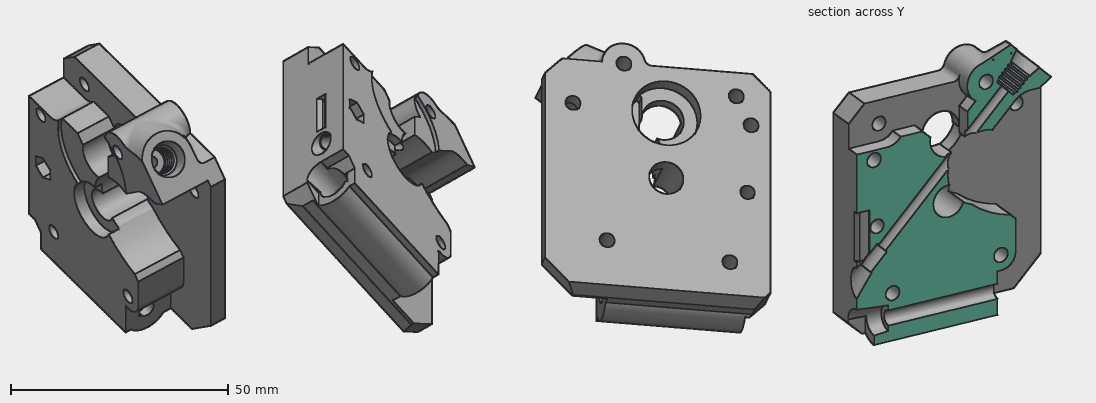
import cadquery as cq
import math

WIDTH = 53.0
DEPTH = 17.0
BASE_Z = 2.2
TOP_Z = 59.9
RIGHT_WALL_Y = 12.95
LEDGE_Y = 9.9
TOP_LEFT_CHAMFER = 4.2
BOTTOM_LEFT_CHAMFER = 3.05
BOTTOM_RIGHT_CHAMFER = 7.25
SHOULDER_Z = 55.9
BACK_BEVEL_DEPTH = 3.4
BACK_BEVEL_HEIGHT = 1.7

SCREW_DIA = 3.5
RIGHT_PIVOT = (46.4, 48.9)
BOSS_CENTER = (34.5, 59.85)
EAR_CENTER = (38.4, 15.05)
TOP_LEFT_SCREW = (8.1, 53.95)
SCREW_POINTS = [TOP_LEFT_SCREW, (4.6, 46.95), BOSS_CENTER, RIGHT_PIVOT, EAR_CENTER, (9.6, 12.1)]
NUT_CENTER = (5.4, 30.0)
NUT_SCREW_DIA = 3.4
NUT_CORNER_DIA = 6.4
NUT_DEPTH = 3.4

BODY_TOP_Z = 49.5
BODY_STEP_Z = 51.3
BODY_STEP_RIGHT = 17.6
BODY_RIGHT = 37.5
EAR_RADIUS = 4.0
SCREW_CLEARANCE_DIA = 8.95
LEVER_SWEEP_RADIUS = 24.85
LEVER_START_ANGLE = 212
LEVER_CORNER_X = 41.05

MOTOR_CENTER = (24.5, 48.25)
MOTOR_SHAFT_DIA = 9.85
MOTOR_PILOT_DIA = 16.1
GEAR_RADIUS = 13.2
GEAR_RECESS = 0.95
DRIVE_CENTER = (33.5, 38.5)
DRIVE_RADIUS = 9.15
BEARING_CENTER = (24.5, 31.95)
SHAFT_DIA = 8.0
BEARING_DIA = 13.9
BEARING_DEPTH = 2.9

BOSS_RADIUS = 5.1
BOSS_FOOT_FILLET = 1.7
ARM_LEFT = 29.45
ARM_NOTCH_Z = 53.5
ARM_NOTCH_REACH = 2.6
ARM_SWEEP_RADIUS = 6.05
ARM_FLAT_END = 48.8
ARM_RIGHT = 51.85

PATH_Y = 6.2
PATH_EXIT_Z = 17.5
PATH_DIA = 2.5
COLLAR_RADIUS = 6.6
COLLAR_LENGTH = 7.8
COLLAR_TAPER = math.tan(math.radians(23.3))
COLLAR_FILLET = 1.7
MOUTH_DIA = 8.4
THREAD_DIA = 7.0
THREAD_CORE_DIA = 6.0
THREAD_START = 2.9
THREAD_PITCH = 1.15
THREAD_COUNT = 4
EXIT_RADIUS = 2.65
EXIT_TAPER = 0.18
EXIT_DEPTH = 3.5
EXIT_OVERRUN = 4.1
TUBE_DIA = 3.5
TUBE_DEPTH = 9.5

BARREL_RADIUS = 6.05
BARREL_Z = BARREL_RADIUS
SEAT_DIA = 8.0
SEAT_FLOOR_DIA = 6.4
SEAT_FLOOR_X = 8.35
BARREL_HOLE_DIA = 3.7
KEY_REACH = 2.25
KEY_WIDTH = 1.75
NOTCH_RIGHT = 4.6
NOTCH_TOP_RIGHT = 2.3
SEAT_KEY_REACH = 4.1
SEAT_KEY_WIDTH = 2.85

SLOT_BOTTOM_Z = 22.1
SLOT_TOP_Z = 34.5
SLOT_WIDTH = 2.5
SLOT_INNER_WIDTH = 0.7
SLOT_LIP = 0.95
SLOT_DEPTH = 3.4

OVERCUT = 0.7
DIAGONAL = math.sqrt(0.5)


def front_plane(y):
    """Sketch plane parallel to XZ at depth y; negative extrusion goes toward the back."""
    return cq.Workplane(cq.Plane(origin=(0, y, 0), xDir=(1, 0, 0), normal=(0, -1, 0)))


def prism(points, y0, y1):
    return front_plane(y0).polyline(points).close().extrude(y0 - y1)


def disc(center, radius, y0, y1):
    return front_plane(y0).center(*center).circle(radius).extrude(y0 - y1)


def box(x0, x1, y0, y1, z0, z1):
    return cq.Workplane("XY").box(x1 - x0, y1 - y0, z1 - z0, centered=False).translate((x0, y0, z0))


def on_circle(center, radius, degrees):
    angle = math.radians(degrees)
    return center[0] + radius * math.cos(angle), center[1] + radius * math.sin(angle)


def revolve_along(profile, origin, direction):
    """Turn (distance, radius) points about an axis lying in the XZ plane."""
    plane = cq.Plane(origin=origin, xDir=direction, normal=(-direction[2], 0, direction[0]))
    outline = [(profile[0][0], 0), *profile, (profile[-1][0], 0)]
    return cq.Workplane(plane).polyline(outline).close().revolve(360, (0, 0, 0), (1, 0, 0))


SHOULDER_SUM = WIDTH + SHOULDER_Z
FITTING_X = (SHOULDER_SUM - PATH_EXIT_Z) / 2
FITTING = (FITTING_X, PATH_Y, SHOULDER_SUM - FITTING_X)
PATH_EXIT = (0, PATH_Y, PATH_EXIT_Z)
UPHILL = (DIAGONAL, 0, DIAGONAL)
DOWNHILL = (-DIAGONAL, 0, -DIAGONAL)


def back_plate():
    outline = [
        (0, BASE_Z + BOTTOM_LEFT_CHAMFER),
        (BOTTOM_LEFT_CHAMFER, BASE_Z),
        (WIDTH - BOTTOM_RIGHT_CHAMFER, BASE_Z),
        (WIDTH, BASE_Z + BOTTOM_RIGHT_CHAMFER),
        (WIDTH, SHOULDER_Z),
        (SHOULDER_SUM - TOP_Z, TOP_Z),
        (TOP_LEFT_CHAMFER, TOP_Z),
        (0, TOP_Z - TOP_LEFT_CHAMFER),
    ]
    ledge = [
        (0, BODY_TOP_Z),
        (0, TOP_Z - TOP_LEFT_CHAMFER),
        (TOP_LEFT_CHAMFER, TOP_Z),
        (BOSS_CENTER[0], TOP_Z),
        BOSS_CENTER,
        (ARM_LEFT + ARM_NOTCH_REACH, ARM_NOTCH_Z + ARM_NOTCH_REACH),
        (ARM_LEFT, ARM_NOTCH_Z),
        (ARM_LEFT, MOTOR_CENTER[1]),
        (MOTOR_CENTER[0], DRIVE_CENTER[1]),
    ]
    return prism(outline, RIGHT_WALL_Y, DEPTH).union(prism(ledge, LEDGE_Y, RIGHT_WALL_Y))


def front_body():
    lever_reach = (RIGHT_PIVOT[0] - LEVER_CORNER_X) / LEVER_SWEEP_RADIUS
    lever_end_angle = 180 + math.degrees(math.acos(lever_reach))
    lever_end = on_circle(RIGHT_PIVOT, LEVER_SWEEP_RADIUS, lever_end_angle)
    lever_mid = on_circle(RIGHT_PIVOT, LEVER_SWEEP_RADIUS, (lever_end_angle + LEVER_START_ANGLE) / 2)
    lever_start = on_circle(RIGHT_PIVOT, LEVER_SWEEP_RADIUS, LEVER_START_ANGLE)
    ear_right = EAR_CENTER[0] + EAR_RADIUS
    chamfer = ear_right - lever_end[0]
    ear_mid = on_circle(EAR_CENTER, EAR_RADIUS, -45)
    body = (
        front_plane(0)
        .moveTo(0, BASE_Z + BOTTOM_LEFT_CHAMFER)
        .lineTo(BOTTOM_LEFT_CHAMFER, BASE_Z)
        .lineTo(BODY_RIGHT, BASE_Z)
        .lineTo(BODY_RIGHT, EAR_CENTER[1] - EAR_RADIUS)
        .lineTo(EAR_CENTER[0], EAR_CENTER[1] - EAR_RADIUS)
        .threePointArc(ear_mid, (ear_right, EAR_CENTER[1]))
        .lineTo(ear_right, lever_end[1] - chamfer)
        .lineTo(*lever_end)
        .threePointArc(lever_mid, lever_start)
        .lineTo(*DRIVE_CENTER)
        .lineTo(*MOTOR_CENTER)
        .lineTo(BODY_STEP_RIGHT + BODY_STEP_Z - MOTOR_CENTER[1], MOTOR_CENTER[1])
        .lineTo(BODY_STEP_RIGHT, BODY_STEP_Z)
        .lineTo(TOP_LEFT_SCREW[0], BODY_STEP_Z)
        .lineTo(TOP_LEFT_SCREW[0], BODY_TOP_Z)
        .lineTo(0, BODY_TOP_Z)
        .close()
        .extrude(-RIGHT_WALL_Y)
    )
    return body.cut(disc(TOP_LEFT_SCREW, SCREW_CLEARANCE_DIA / 2, -OVERCUT, LEDGE_Y))


def barrel():
    bar = cq.Workplane("YZ").center(PATH_Y, BARREL_Z).circle(BARREL_RADIUS).extrude(BODY_RIGHT)
    corner = BASE_Z + BOTTOM_LEFT_CHAMFER
    chamfer = [
        (0, corner),
        (NOTCH_RIGHT, corner - NOTCH_RIGHT),
        (NOTCH_RIGHT, -OVERCUT),
        (0, -OVERCUT),
    ]
    return bar.cut(prism(chamfer, 0, DEPTH))


def fitting_collar():
    """Tapered collar around the filament inlet, stretched down along the sloping face."""
    base_radius = COLLAR_RADIUS + COLLAR_LENGTH * COLLAR_TAPER
    cone = revolve_along([(0, COLLAR_RADIUS), (COLLAR_LENGTH, base_radius)], FITTING, DOWNHILL)
    stretch = 2 * COLLAR_RADIUS
    face_center = (FITTING[0], 0, FITTING[2])
    across = cq.Workplane(cq.Plane(origin=face_center, xDir=(0, 1, 0), normal=(DIAGONAL, 0, -DIAGONAL)))
    extension = (
        across.polyline([
            (PATH_Y - base_radius, 0),
            (PATH_Y + COLLAR_RADIUS, 0),
            (PATH_Y + base_radius, -COLLAR_LENGTH),
            (PATH_Y - base_radius, -COLLAR_LENGTH),
        ]).close().extrude(stretch)
    )
    return cone.union(extension)


def boss():
    """Round screw boss with a concave foot running into the top of the plate."""
    foot_x = BOSS_CENTER[0] - math.sqrt(
        (BOSS_RADIUS + BOSS_FOOT_FILLET) ** 2 - (TOP_Z + BOSS_FOOT_FILLET - BOSS_CENTER[1]) ** 2
    )
    foot_center = (foot_x, TOP_Z + BOSS_FOOT_FILLET)
    center_rise = foot_center[1] - BOSS_CENTER[1]
    tangent_z = BOSS_CENTER[1] + center_rise * BOSS_RADIUS / (BOSS_RADIUS + BOSS_FOOT_FILLET)
    foot = box(foot_x, BOSS_CENTER[0], LEDGE_Y, DEPTH, BOSS_CENTER[1], tangent_z)
    foot = foot.cut(disc(foot_center, BOSS_FOOT_FILLET, LEDGE_Y - OVERCUT, DEPTH + OVERCUT))
    return disc(BOSS_CENTER, BOSS_RADIUS, 0, DEPTH).union(foot)


def arm_prism(y1):
    """Arm outline from the front face back to y1, bounded above by the sloping face."""
    sweep_top = RIGHT_PIVOT[1] + ARM_SWEEP_RADIUS
    sweep_start = on_circle(RIGHT_PIVOT, ARM_SWEEP_RADIUS, 135)
    sweep_mid = on_circle(RIGHT_PIVOT, ARM_SWEEP_RADIUS, 112.5)
    inner_x = BOSS_CENTER[0] - BOSS_RADIUS / 2
    low_z = DRIVE_CENTER[1] + DRIVE_RADIUS * DIAGONAL
    return (
        front_plane(0)
        .moveTo(ARM_LEFT, low_z)
        .lineTo(ARM_LEFT, ARM_NOTCH_Z)
        .lineTo(ARM_LEFT + ARM_NOTCH_REACH, ARM_NOTCH_Z + ARM_NOTCH_REACH)
        .lineTo(*BOSS_CENTER)
        .lineTo(inner_x, BOSS_CENTER[1])
        .lineTo(inner_x, SHOULDER_SUM - inner_x)
        .lineTo(ARM_RIGHT, SHOULDER_SUM - ARM_RIGHT)
        .lineTo(ARM_FLAT_END, sweep_top)
        .lineTo(RIGHT_PIVOT[0], sweep_top)
        .threePointArc(sweep_mid, sweep_start)
        .lineTo(sweep_start[0] - sweep_start[1] + low_z, low_z)
        .close()
        .extrude(-y1)
    )


def arm():
    low_part = arm_prism(RIGHT_WALL_Y).intersect(box(0, WIDTH, 0, DEPTH, 0, TOP_Z))
    collar = fitting_collar().intersect(arm_prism(DEPTH)).intersect(
        box(0, WIDTH, 0, DEPTH, TOP_Z - BOSS_RADIUS, SHOULDER_SUM)
    )
    pilot_relief = disc(MOTOR_CENTER, MOTOR_PILOT_DIA / 2, LEDGE_Y, DEPTH)
    return low_part.union(collar).cut(pilot_relief)


def soften_collar_base(body):
    """Round the inner corners where the collar meets the boss and the top of the plate."""
    boss_right = BOSS_CENTER[0] + BOSS_RADIUS
    boss_joint = cq.selectors.BoxSelector(
        (ARM_LEFT, OVERCUT, TOP_Z + OVERCUT), (boss_right, DEPTH - OVERCUT, TOP_Z + BOSS_RADIUS)
    )
    plate_joint = cq.selectors.BoxSelector(
        (boss_right + OVERCUT, PATH_Y, TOP_Z - OVERCUT), (ARM_FLAT_END, DEPTH - OVERCUT, TOP_Z + OVERCUT)
    )
    return body.edges(boss_joint + plate_joint).fillet(COLLAR_FILLET)


def hex_pocket():
    return front_plane(0).center(*NUT_CENTER).transformed(rotate=(0, 0, 90)).polygon(
        6, NUT_CORNER_DIA
    ).extrude(-NUT_DEPTH)


def gear_openings():
    cuts = disc(MOTOR_CENTER, MOTOR_SHAFT_DIA / 2, 0, DEPTH)
    cuts = cuts.union(disc(MOTOR_CENTER, MOTOR_PILOT_DIA / 2, RIGHT_WALL_Y, DEPTH))
    cuts = cuts.union(disc(MOTOR_CENTER, GEAR_RADIUS, 0, GEAR_RECESS))
    cuts = cuts.union(disc(DRIVE_CENTER, DRIVE_RADIUS, 0, RIGHT_WALL_Y))
    cuts = cuts.union(disc(BEARING_CENTER, SHAFT_DIA / 2, 0, DEPTH))
    return cuts.union(disc(BEARING_CENTER, BEARING_DIA / 2, 0, BEARING_DEPTH))


def inlet_thread():
    """Tapered mouth followed by a bore with evenly pitched thread grooves."""
    core = THREAD_CORE_DIA / 2
    crest = THREAD_DIA / 2
    profile = [(-OVERCUT, MOUTH_DIA / 2), (0, MOUTH_DIA / 2), (THREAD_START, crest)]
    for turn in range(THREAD_COUNT):
        start = THREAD_START + turn * THREAD_PITCH
        profile += [(start + THREAD_PITCH / 2, core), (start + THREAD_PITCH, crest)]
    end = THREAD_START + THREAD_COUNT * THREAD_PITCH
    profile += [(end + THREAD_PITCH / 2, core), (end + THREAD_PITCH, core)]
    return revolve_along(profile, FITTING, DOWNHILL)


def filament_path():
    path_length = (FITTING[2] - PATH_EXIT_Z) / DIAGONAL
    bore = revolve_along([(0, PATH_DIA / 2), (path_length, PATH_DIA / 2)], PATH_EXIT, UPHILL)
    taper = [(distance, EXIT_RADIUS - distance * EXIT_TAPER) for distance in (-EXIT_OVERRUN, EXIT_DEPTH)]
    tube = [(EXIT_DEPTH, TUBE_DIA / 2), (TUBE_DEPTH, TUBE_DIA / 2)]
    outlet = revolve_along(taper + tube, PATH_EXIT, UPHILL)
    return bore.union(outlet).union(inlet_thread())


def barrel_cuts():
    hole = cq.Workplane("YZ").center(PATH_Y, BARREL_Z).circle(BARREL_HOLE_DIA / 2).extrude(WIDTH)
    key = box(0, WIDTH, PATH_Y - KEY_REACH, PATH_Y, BARREL_Z - KEY_WIDTH / 2, BARREL_Z + KEY_WIDTH / 2)
    seat_radius = SEAT_DIA / 2
    seat = revolve_along(
        [(0, seat_radius), (SEAT_FLOOR_X, SEAT_FLOOR_DIA / 2)],
        (0, PATH_Y, BARREL_Z), (1, 0, 0),
    )
    seat_key = (
        cq.Workplane("XY", origin=(0, PATH_Y, BARREL_Z))
        .polyline([(0, 0), (0, -SEAT_KEY_REACH), (NOTCH_RIGHT, -SEAT_KEY_REACH),
                   (SEAT_FLOOR_X, -SEAT_FLOOR_DIA / 2), (SEAT_FLOOR_X, 0)])
        .close()
        .extrude(SEAT_KEY_WIDTH / 2, both=True)
    )
    notch_top = BARREL_Z + seat_radius
    corner = [
        (-OVERCUT, -OVERCUT),
        (-OVERCUT, notch_top),
        (NOTCH_TOP_RIGHT, notch_top),
        (NOTCH_RIGHT, notch_top - NOTCH_RIGHT + NOTCH_TOP_RIGHT),
        (NOTCH_RIGHT, -OVERCUT),
    ]
    notch = prism(corner, -OVERCUT, PATH_Y)
    low_notch = box(-OVERCUT, NOTCH_RIGHT, PATH_Y, PATH_Y + seat_radius, -OVERCUT, BARREL_Z)
    return hole.union(key).union(seat).union(seat_key).union(notch).union(low_notch)


def side_slot():
    lip = SLOT_WIDTH / 2
    inner = SLOT_INNER_WIDTH / 2
    return (
        cq.Workplane("XY", origin=(0, PATH_Y, SLOT_BOTTOM_Z))
        .polyline([(0, -lip), (SLOT_LIP, -inner), (SLOT_DEPTH, -inner),
                   (SLOT_DEPTH, inner), (SLOT_LIP, inner), (0, lip)])
        .close()
        .extrude(SLOT_TOP_Z - SLOT_BOTTOM_Z)
    )


def back_bevel():
    return (
        cq.Workplane("YZ")
        .polyline([(DEPTH, BASE_Z), (DEPTH, BASE_Z + BACK_BEVEL_HEIGHT), (DEPTH - BACK_BEVEL_DEPTH, BASE_Z)])
        .close()
        .extrude(WIDTH)
    )


result = back_plate().union(front_body()).union(barrel()).union(boss()).union(arm())
result = soften_collar_base(result)
for point in SCREW_POINTS:
    result = result.cut(disc(point, SCREW_DIA / 2, 0, DEPTH))
result = result.cut(disc(NUT_CENTER, NUT_SCREW_DIA / 2, 0, DEPTH))
for feature in (hex_pocket, gear_openings, filament_path, barrel_cuts, side_slot, back_bevel):
    result = result.cut(feature())